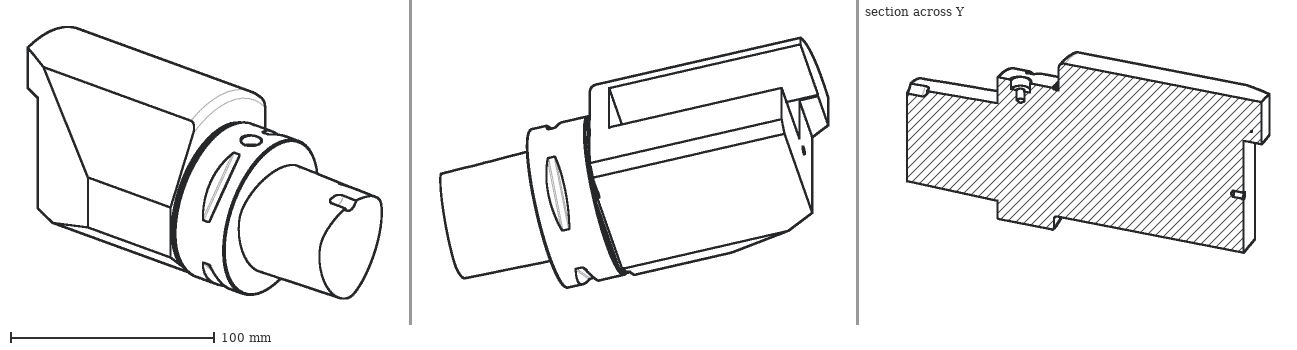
import cadquery as cq
import math


NOSE_LENGTH = 9.5
BODY_END = 107.7
FLANGE_START = 110.0
FLANGE_END = 140.0
TOTAL_LENGTH = 188.0

FLANGE_RADIUS = 80.0 / 2
HALF_WIDTH = FLANGE_RADIUS
CROWN_RADIUS = 54.9
BODY_BOTTOM = -32.1
SLANT_ANGLE = 60.0
SLANT_FOOT_Z = 14.0
FRONT_BEVEL = 17.5
BACK_BEVEL = 5.3
SHOULDER_FILLET = 3.4

NOSE_UNDERSIDE_Z = 30.8
SIDE_CUT_START_Y = -10.3
SIDE_CUT_LENGTH = 57.7

SEAT_INNER_Y = 8.0
SEAT_FLOOR_Z = -0.8
SEAT_ROOF_Z = 32.0
SEAT_END_WALL = 10.0

NECK_RADIUS = 39.1
NECK_FLARE_RADIUS = 39.5
NECK_FLARE = 1.1
FLANGE_START_CHAMFER = 0.8
FLANGE_END_CHAMFER = 0.5

GROOVE_X = 127.8
GROOVE_FLOOR_DISTANCE = 35.5
GROOVE_FLOOR_WIDTH = 3.8
GROOVE_MOUTH_WIDTH = 8.6
GROOVE_FLOOR_FILLET = 0.8
GROOVE_ANGLES = (45, 135, 225, 315)

FLANGE_BORE_DIAMETER = 10.0
FLANGE_BORE_DEPTH = 5.3
FLANGE_BORE_CHAMFER = 0.4
FLANGE_DRILL_DIAMETER = 4.0
DRILL_DEPTH = 5.6
DRILL_POINT_ANGLE = 118.0
COOLANT_DRILL_DIAMETER = 3.2
COOLANT_MOUTH_DIAMETER = 4.0
COOLANT_MOUTH_DEPTH = 0.8

SHANK_BASE_RADIUS = 27.6
SHANK_LOBE = 2.3
SHANK_TAPER_RATIO = 1 / 40
SHANK_OUTLINE_POINTS = 48
KEY_SLOT_DIAMETER = 10.0
KEY_SLOT_LENGTH = 10.7
KEY_SLOT_END_FILLET = 3.0
KEY_SLOT_AXIS_HEIGHT = 1.7

OVERLAP = 1.9


def axial_disc(start, end, radius):
    """Cylinder around the tool axis between two X stations."""
    return cq.Workplane("YZ", origin=(start, 0, 0)).circle(radius).extrude(end - start)


def body_outline(start):
    """Closed body cross-section at an X station, with a crown arc centred on the tool axis."""
    crown_back_z = math.sqrt(CROWN_RADIUS**2 - HALF_WIDTH**2)
    slant = math.radians(SLANT_ANGLE)
    along = HALF_WIDTH * math.cos(slant) - SLANT_FOOT_Z * math.sin(slant)
    rise = along + math.sqrt(along**2 + CROWN_RADIUS**2 - HALF_WIDTH**2 - SLANT_FOOT_Z**2)
    slant_top = (-HALF_WIDTH + rise * math.cos(slant), SLANT_FOOT_Z + rise * math.sin(slant))
    return (
        cq.Workplane("YZ", origin=(start, 0, 0))
        .moveTo(HALF_WIDTH, crown_back_z)
        .threePointArc((0, CROWN_RADIUS), slant_top)
        .lineTo(-HALF_WIDTH, SLANT_FOOT_Z)
        .lineTo(-HALF_WIDTH, BODY_BOTTOM + FRONT_BEVEL)
        .lineTo(-HALF_WIDTH + FRONT_BEVEL, BODY_BOTTOM)
        .lineTo(HALF_WIDTH - BACK_BEVEL, BODY_BOTTOM)
        .lineTo(HALF_WIDTH, BODY_BOTTOM + BACK_BEVEL)
        .close()
    )


def make_body():
    envelope = axial_disc(0, BODY_END, CROWN_RADIUS).faces(">X").edges().fillet(SHOULDER_FILLET)
    body = body_outline(0).extrude(BODY_END).intersect(envelope)

    under_nose_height = NOSE_UNDERSIDE_Z - BODY_BOTTOM
    under_nose = cq.Workplane("XY").box(
        NOSE_LENGTH, 2 * HALF_WIDTH, under_nose_height, centered=(False, True, False)
    )
    body = body.cut(under_nose.translate((0, 0, BODY_BOTTOM)))

    side_cut = (
        cq.Workplane("XY", origin=(0, 0, -CROWN_RADIUS))
        .moveTo(0, SIDE_CUT_START_Y)
        .lineTo(SIDE_CUT_LENGTH, -HALF_WIDTH)
        .lineTo(0, -HALF_WIDTH)
        .close()
        .extrude(2 * CROWN_RADIUS)
    )
    body = body.cut(side_cut)

    seat = cq.Workplane("XY").box(
        BODY_END - SEAT_END_WALL,
        HALF_WIDTH - SEAT_INNER_Y,
        SEAT_ROOF_Z - SEAT_FLOOR_Z,
        centered=False,
    )
    return body.cut(seat.translate((0, SEAT_INNER_Y, SEAT_FLOOR_Z)))


def make_neck():
    """Short neck with the body outline, flaring out onto the flange face."""
    flare_start = FLANGE_START - NECK_FLARE
    straight = body_outline(BODY_END).extrude(flare_start - BODY_END)
    straight = straight.intersect(axial_disc(BODY_END, flare_start, NECK_RADIUS))
    flare = body_outline(flare_start).extrude(NECK_FLARE, taper=-45)
    flare = flare.intersect(axial_disc(flare_start, FLANGE_START, NECK_FLARE_RADIUS))
    return straight.union(flare)


def make_flange():
    flange = axial_disc(FLANGE_START, FLANGE_END, FLANGE_RADIUS)
    flange = flange.faces("<X").edges().chamfer(FLANGE_START_CHAMFER)
    flange = flange.faces(">X").edges().chamfer(FLANGE_END_CHAMFER)
    groove = (
        cq.Workplane("XZ", origin=(GROOVE_X, FLANGE_RADIUS, 0))
        .moveTo(-GROOVE_FLOOR_WIDTH / 2, GROOVE_FLOOR_DISTANCE)
        .lineTo(GROOVE_FLOOR_WIDTH / 2, GROOVE_FLOOR_DISTANCE)
        .lineTo(GROOVE_MOUTH_WIDTH / 2, FLANGE_RADIUS)
        .lineTo(-GROOVE_MOUTH_WIDTH / 2, FLANGE_RADIUS)
        .close()
        .extrude(2 * FLANGE_RADIUS)
        .edges("|Y and <Z")
        .fillet(GROOVE_FLOOR_FILLET)
    )
    for angle in GROOVE_ANGLES:
        flange = flange.cut(groove.rotate((0, 0, 0), (1, 0, 0), angle))
    return flange


def shank_outline_point(angle, mean_radius):
    """Point whose tangent lies at mean_radius + lobe * cos(3 * angle) from the axis; -Z is a lobe."""
    reach = mean_radius + SHANK_LOBE * math.cos(3 * angle)
    slide = -3 * SHANK_LOBE * math.sin(3 * angle)
    y = reach * math.sin(angle) + slide * math.cos(angle)
    z = -reach * math.cos(angle) + slide * math.sin(angle)
    return (y, z)


def shank_section(x, mean_radius):
    angles = [2 * math.pi * i / SHANK_OUTLINE_POINTS for i in range(SHANK_OUTLINE_POINTS)]
    points = [cq.Vector(x, *shank_outline_point(angle, mean_radius)) for angle in angles]
    return cq.Wire.assembleEdges([cq.Edge.makeSpline(points, periodic=True)])


def make_shank():
    shank_length = TOTAL_LENGTH - FLANGE_END
    tip_radius = SHANK_BASE_RADIUS - shank_length * SHANK_TAPER_RATIO
    base = shank_section(FLANGE_END, SHANK_BASE_RADIUS)
    tip = shank_section(TOTAL_LENGTH, tip_radius)
    shank = cq.Workplane(cq.Solid.makeLoft([base, tip]))

    slot_start = TOTAL_LENGTH - KEY_SLOT_LENGTH
    slot = axial_disc(slot_start, TOTAL_LENGTH + OVERLAP, KEY_SLOT_DIAMETER / 2)
    slot = slot.faces("<X").edges().fillet(KEY_SLOT_END_FILLET)
    slot_axis_z = tip_radius - SHANK_LOBE + KEY_SLOT_AXIS_HEIGHT
    return shank.cut(slot.translate((0, 0, slot_axis_z)))


def make_drill(start, direction, diameter):
    """Blind drilled hole with a conical end."""
    radius = diameter / 2
    point_length = radius / math.tan(math.radians(DRILL_POINT_ANGLE / 2))
    tip = start + direction * DRILL_DEPTH
    hole = cq.Solid.makeCylinder(radius, DRILL_DEPTH, start, direction)
    return hole.fuse(cq.Solid.makeCone(radius, 0, point_length, tip, direction))


def cut_flange_bore(part):
    """Flat-bottomed radial bore on top of the flange, with a drilled hole in its floor."""
    down = cq.Vector(0, 0, -1)
    top = cq.Vector(GROOVE_X, 0, FLANGE_RADIUS)
    bore_radius = FLANGE_BORE_DIAMETER / 2
    bore = cq.Solid.makeCylinder(bore_radius, FLANGE_BORE_DEPTH, top, down)
    rim = cq.Solid.makeCone(bore_radius + FLANGE_BORE_CHAMFER, bore_radius, FLANGE_BORE_CHAMFER, top, down)
    drill = make_drill(top + down * FLANGE_BORE_DEPTH, down, FLANGE_DRILL_DIAMETER)
    return part.cut(bore).cut(rim).cut(drill)


def cut_coolant_hole(part):
    """Drilled hole on the tool axis with a wider mouth, in the end face below the nose."""
    inward = cq.Vector(1, 0, 0)
    mouth = cq.Vector(NOSE_LENGTH, 0, 0)
    mouth_bore = cq.Solid.makeCylinder(COOLANT_MOUTH_DIAMETER / 2, COOLANT_MOUTH_DEPTH, mouth, inward)
    return part.cut(mouth_bore).cut(make_drill(mouth, inward, COOLANT_DRILL_DIAMETER))


result = make_body().union(make_neck()).union(make_flange()).union(make_shank())
result = cut_flange_bore(result)
result = cut_coolant_hole(result)